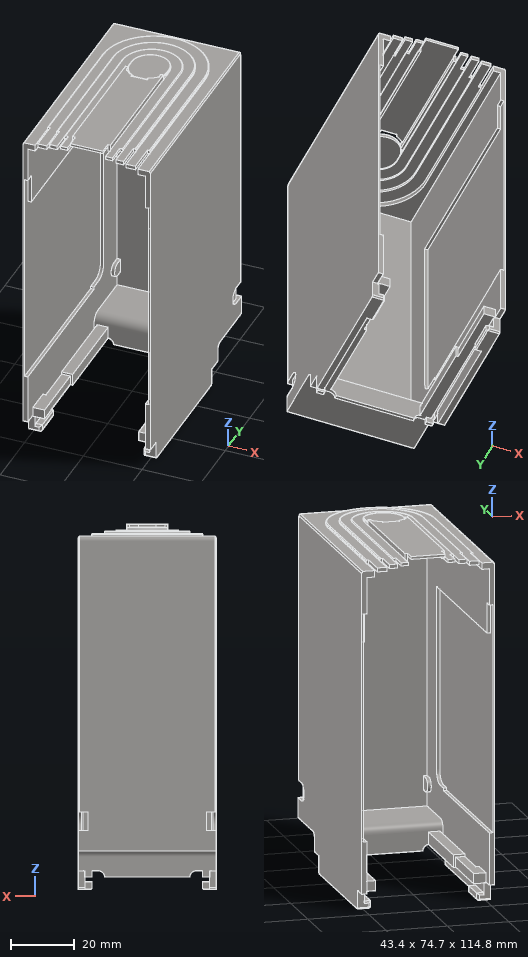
import cadquery as cq
import math

WIDTH = 43.4
DEPTH = 74.7
HEIGHT = 114.8
HALF_WIDTH = WIDTH / 2

SIDE_WALL = 1.7
BACK_WALL = 1.7
ROOF_TOP = 111.1
CEILING = 109.0
INNER_HALF = HALF_WIDTH - SIDE_WALL
SIDE_BEVEL_ACROSS = 0.35
SIDE_BEVEL_DOWN = 0.65
BACK_EDGE_ROUND = 1.6

FRONT_CORNER_Z = 6.1
FOOT_FRONT_Y = 4.6
FOOT_BACK_Y = 50.35
FOOT_CHAMFER = 0.5
CROSS_Z = 5.8
REAR_FLOOR_Z = 12.0

SHEET = 1.2
CROSS_BACK_Y = DEPTH - 19.3
BEND_INNER = 1.8
BEND_OUTER = BEND_INNER + SHEET
TAB_Z = 3.8
TAB_HALF = 13.4
TAB_CORNER_RADIUS = CROSS_Z - TAB_Z
HOOK_OUTER = 19.7
HOOK_INNER = 17.3

TIERS = [
    (17.5, 111.9, 1.3, 0.9, 10.0),
    (13.5, 112.7, 1.3, 0.9, 8.0),
    (10.0, 113.0, 1.0, 1.2, 6.0),
]
FIRST_CENTRE_Y = DEPTH - 19.9
CENTRE_STEP = 0.9
TIER_CHAMFER = 0.3

TONGUE_HALF = 6.45
TONGUE_THICKNESS = 0.9
TONGUE_SLOT_WIDTH = 0.9
TONGUE_SLOT_LENGTH = 4.0
TONGUE_END_RADIUS = 7.1
TONGUE_NOTCH_HALF = 2.7
TONGUE_NOTCH_Y = DEPTH - 31.7
BUTTON_TOP = 113.75
BUTTON_CHAMFER = 0.2
BUTTON_BOTTOM = 112.4
BUTTON_BACK_CENTRE_Y = FIRST_CENTRE_Y - len(TIERS) * CENTRE_STEP
BUTTON_FRONT_CENTRE_Y = BUTTON_BACK_CENTRE_Y - 1.8

SKIN = 0.6
RECESS_TOP = 97.2
RECESS_STEP_Z = 87.4
RECESS_STEP_Y = 2.8
RECESS_BACK_Y = 62.0
RECESS_FRONT_FLOOR = 23.1
RECESS_FLOOR = 23.9
RECESS_LEDGE_Y = 54.0
RECESS_CORNER = 4.0

NOTCH_Z = 21.4
NOTCH_RADIUS = 2.9
NOTCH_CENTRE_Y = DEPTH - 4.3
NOTCH_DEPTH = 1.1
NOTCH_RAMP_DEPTH = 1.5
REAR_CLEARANCE = 3.0
RAMP_FRONT_Y = DEPTH - 1.85
RAMP_BACK_Y = DEPTH - 1.0
BOSS_Z = 20.8
BOSS_RADIUS = 2.3
BOSS_HALF = INNER_HALF - 1.2

SHELF_BOTTOM = 5.8
SHELF_FRONT_Y = 4.1
SHELF_STEP_Y = 25.1
SHELF_REAR_TOP = 9.9
SHELF_REAR_HALF = 15.2
SHELF_FRONT_TOP = 9.1
SHELF_FRONT_HALF = 16.0
SHELF_GROOVE_WIDTH = 1.05
SHELF_GROOVE_FRONT_Y = 12.3

FOOT_THICKNESS = 2.2
LIP_LENGTH = 10.0
LIP_FRONT_TOP = 1.8
LIP_TOP = 2.4
LIP_RAMP_LENGTH = 0.8
LIP_HALF = 17.3
LIP_CORNER_CHAMFER = 0.8
LIP_BOTTOM_CHAMFER = 0.4


def block(x0, x1, y0, y1, z0, z1):
    return cq.Workplane("XY").box(x1 - x0, y1 - y0, z1 - z0, centered=False).translate((x0, y0, z0))


def along_x(outline, x0, x1):
    """Extrude a closed outline drawn in the YZ plane from x0 to x1."""
    return outline.extrude(x1 - x0).translate((x0, 0, 0))


def both_sides(left):
    return left.union(left.mirror("YZ"))


def tunnel(radius, centre_y, z0, z1):
    """Prism with straight sides from the front edge and a half-round back end."""
    outline = (
        cq.Workplane("XY", origin=(0, 0, z0))
        .moveTo(-radius, 0)
        .lineTo(-radius, centre_y)
        .threePointArc((0, centre_y + radius), (radius, centre_y))
        .lineTo(radius, 0)
        .close()
    )
    return outline.extrude(z1 - z0)


def make_upper_body():
    """Upper block with a rounded rear edge and bevelled edges where the sides meet the roof and back."""
    overrun = 2 * SIDE_BEVEL_DOWN
    straight_half = HALF_WIDTH - SIDE_BEVEL_ACROSS
    bevel_angle = math.degrees(math.atan2(SIDE_BEVEL_DOWN, SIDE_BEVEL_ACROSS))
    outline = (
        cq.Workplane("YZ", origin=(straight_half, 0, 0))
        .moveTo(-overrun, NOTCH_Z - overrun)
        .lineTo(DEPTH, NOTCH_Z - overrun)
        .lineTo(DEPTH, ROOF_TOP - BACK_EDGE_ROUND)
        .radiusArc((DEPTH - BACK_EDGE_ROUND, ROOF_TOP), -BACK_EDGE_ROUND)
        .lineTo(-overrun, ROOF_TOP)
        .close()
    )
    right_bevel = outline.extrude(SIDE_BEVEL_ACROSS, taper=bevel_angle)
    middle = block(-straight_half, straight_half, -overrun, DEPTH, NOTCH_Z - overrun, ROOF_TOP)
    middle = middle.edges("|X and >Y and >Z").fillet(BACK_EDGE_ROUND)
    trim = block(-HALF_WIDTH, HALF_WIDTH, 0, DEPTH, NOTCH_Z, ROOF_TOP)
    return middle.union(both_sides(right_bevel)).intersect(trim)


def make_lower_body():
    """Lower block, cut away at the rear and standing on the feet."""
    outline = (
        cq.Workplane("YZ")
        .moveTo(0, NOTCH_Z)
        .lineTo(0, FRONT_CORNER_Z)
        .lineTo(FOOT_FRONT_Y, FRONT_CORNER_Z)
        .lineTo(FOOT_FRONT_Y, FOOT_CHAMFER)
        .lineTo(FOOT_FRONT_Y + FOOT_CHAMFER, 0)
        .lineTo(FOOT_BACK_Y - FOOT_CHAMFER, 0)
        .lineTo(FOOT_BACK_Y, FOOT_CHAMFER)
        .lineTo(FOOT_BACK_Y, CROSS_Z)
        .lineTo(CROSS_BACK_Y, CROSS_Z)
        .lineTo(CROSS_BACK_Y, REAR_FLOOR_Z - BEND_INNER)
        .radiusArc((CROSS_BACK_Y + BEND_INNER, REAR_FLOOR_Z), BEND_INNER)
        .lineTo(DEPTH, REAR_FLOOR_Z)
        .lineTo(DEPTH, NOTCH_Z)
        .close()
    )
    return along_x(outline, -HALF_WIDTH, HALF_WIDTH)


def make_interior():
    """Space inside the walls, stopping at the rear floor and the cross plate."""
    floor_z = REAR_FLOOR_Z + SHEET
    plate_y = CROSS_BACK_Y - SHEET
    outline = (
        cq.Workplane("YZ")
        .moveTo(0, 0)
        .lineTo(0, CEILING)
        .lineTo(DEPTH - BACK_WALL, CEILING)
        .lineTo(DEPTH - BACK_WALL, floor_z)
        .lineTo(plate_y + BEND_OUTER, floor_z)
        .radiusArc((plate_y, floor_z - BEND_OUTER), -BEND_OUTER)
        .lineTo(plate_y, 0)
        .close()
    )
    return along_x(outline, -INNER_HALF, INNER_HALF)


def make_tier(index):
    radius, top, thickness, slot_width, slot_length = TIERS[index]
    bottom = top - thickness
    plate = tunnel(radius, FIRST_CENTRE_Y - index * CENTRE_STEP, bottom, top)
    plate = plate.faces(">Z").edges("not <Y").chamfer(TIER_CHAMFER)
    slot = block(-radius, slot_width - radius, 0, slot_length, bottom, top)
    return plate.cut(both_sides(slot))


def make_tier_opening(index):
    """Opening below a tier, through everything under its plate."""
    radius, top = TIERS[index][:2]
    return tunnel(radius, FIRST_CENTRE_Y - index * CENTRE_STEP, CEILING, top)


def make_button():
    outline = (
        cq.Workplane("XY", origin=(0, 0, BUTTON_BOTTOM))
        .moveTo(-TONGUE_HALF, BUTTON_FRONT_CENTRE_Y)
        .lineTo(-TONGUE_HALF, BUTTON_BACK_CENTRE_Y)
        .threePointArc((0, BUTTON_BACK_CENTRE_Y + TONGUE_HALF), (TONGUE_HALF, BUTTON_BACK_CENTRE_Y))
        .lineTo(TONGUE_HALF, BUTTON_FRONT_CENTRE_Y)
        .threePointArc((0, BUTTON_FRONT_CENTRE_Y - TONGUE_HALF), (-TONGUE_HALF, BUTTON_FRONT_CENTRE_Y))
        .close()
    )
    button = outline.extrude(BUTTON_TOP - BUTTON_BOTTOM)
    return button.edges(">Z").chamfer(BUTTON_CHAMFER)


def make_tongue():
    """Raised tongue standing on two thin ribs, with a hollow end that clears the button."""
    side_y = BUTTON_FRONT_CENTRE_Y - math.sqrt(TONGUE_END_RADIUS**2 - TONGUE_HALF**2)
    bottom = HEIGHT - TONGUE_THICKNESS
    tongue = block(-TONGUE_HALF, TONGUE_HALF, 0, side_y, bottom, HEIGHT)
    clearance = (
        cq.Workplane("XY", origin=(0, BUTTON_FRONT_CENTRE_Y, bottom))
        .circle(TONGUE_END_RADIUS)
        .extrude(TONGUE_THICKNESS)
    )
    notch = block(
        -TONGUE_NOTCH_HALF, TONGUE_NOTCH_HALF, TONGUE_NOTCH_Y, BUTTON_FRONT_CENTRE_Y, bottom, HEIGHT
    )
    rib = block(
        -TONGUE_HALF, TONGUE_SLOT_WIDTH - TONGUE_HALF, TONGUE_SLOT_LENGTH, side_y, BUTTON_BOTTOM, HEIGHT
    )
    slot = block(-TONGUE_HALF, TONGUE_SLOT_WIDTH - TONGUE_HALF, 0, TONGUE_SLOT_LENGTH, bottom, HEIGHT)
    tongue = tongue.cut(clearance).cut(notch)
    return tongue.union(both_sides(rib)).cut(both_sides(slot))


def add_roof(body):
    for index in range(len(TIERS)):
        body = body.cut(make_tier_opening(index)).union(make_tier(index))
    body = body.cut(tunnel(TONGUE_HALF, BUTTON_BACK_CENTRE_Y, CEILING, BUTTON_TOP))
    return body.union(make_button()).union(make_tongue())


def make_wall_recess():
    outline = (
        cq.Workplane("YZ")
        .moveTo(0, RECESS_FRONT_FLOOR)
        .lineTo(0, RECESS_TOP)
        .lineTo(RECESS_STEP_Y, RECESS_TOP)
        .lineTo(RECESS_STEP_Y, RECESS_STEP_Z)
        .lineTo(RECESS_BACK_Y, RECESS_STEP_Z)
        .lineTo(RECESS_BACK_Y, RECESS_FLOOR + RECESS_CORNER)
        .radiusArc((RECESS_BACK_Y - RECESS_CORNER, RECESS_FLOOR), RECESS_CORNER)
        .lineTo(RECESS_LEDGE_Y, RECESS_FLOOR)
        .lineTo(RECESS_LEDGE_Y, RECESS_FRONT_FLOOR)
        .close()
    )
    return both_sides(along_x(outline, SKIN - HALF_WIDTH, -INNER_HALF))


def round_nosed_outline(back_y, centre_z, radius):
    """Outline running forwards from back_y and ending in a half round."""
    return (
        cq.Workplane("YZ")
        .moveTo(back_y, centre_z + radius)
        .lineTo(NOTCH_CENTRE_Y, centre_z + radius)
        .threePointArc((NOTCH_CENTRE_Y - radius, centre_z), (NOTCH_CENTRE_Y, centre_z - radius))
        .lineTo(back_y, centre_z - radius)
        .close()
    )


def make_finger_notch():
    """Round-ended notch whose floor ramps deeper, then breaks through the outside of the back wall."""
    outline = round_nosed_outline(DEPTH, NOTCH_Z, NOTCH_RADIUS)
    shallow = along_x(outline, -HALF_WIDTH, NOTCH_DEPTH - HALF_WIDTH)
    ramp = (
        cq.Workplane("XY", origin=(0, 0, NOTCH_Z - NOTCH_RADIUS))
        .moveTo(-HALF_WIDTH, RAMP_FRONT_Y)
        .lineTo(NOTCH_DEPTH - HALF_WIDTH, RAMP_FRONT_Y)
        .lineTo(NOTCH_RAMP_DEPTH - HALF_WIDTH, RAMP_BACK_Y)
        .lineTo(REAR_CLEARANCE - HALF_WIDTH, RAMP_BACK_Y)
        .lineTo(REAR_CLEARANCE - HALF_WIDTH, DEPTH)
        .lineTo(-HALF_WIDTH, DEPTH)
        .close()
        .extrude(2 * NOTCH_RADIUS)
    )
    return both_sides(shallow.union(ramp))


def make_notch_boss():
    outline = round_nosed_outline(DEPTH - BACK_WALL, BOSS_Z, BOSS_RADIUS)
    return both_sides(along_x(outline, -INNER_HALF, -BOSS_HALF))


def make_shelf():
    plate_y = CROSS_BACK_Y - SHEET
    front = block(-INNER_HALF, -SHELF_FRONT_HALF, SHELF_FRONT_Y, SHELF_STEP_Y, SHELF_BOTTOM, SHELF_FRONT_TOP)
    rear = block(-INNER_HALF, -SHELF_REAR_HALF, SHELF_STEP_Y, plate_y, SHELF_BOTTOM, SHELF_REAR_TOP)
    groove = block(
        -INNER_HALF,
        SHELF_GROOVE_WIDTH - INNER_HALF,
        SHELF_GROOVE_FRONT_Y,
        plate_y,
        SHELF_BOTTOM,
        SHELF_REAR_TOP,
    )
    return both_sides(front.union(rear).cut(groove))


def make_foot():
    """Thickened foot of the side wall, with a short inward lip at its front end."""
    inner = FOOT_THICKNESS - HALF_WIDTH
    pad = block(-INNER_HALF, inner, FOOT_FRONT_Y, FOOT_BACK_Y, 0, SHELF_BOTTOM)
    lip_back_y = FOOT_FRONT_Y + LIP_LENGTH
    lip_outline = (
        cq.Workplane("YZ")
        .moveTo(FOOT_FRONT_Y, 0)
        .lineTo(FOOT_FRONT_Y, LIP_FRONT_TOP)
        .lineTo(FOOT_FRONT_Y + LIP_RAMP_LENGTH, LIP_TOP)
        .lineTo(lip_back_y, LIP_TOP)
        .lineTo(lip_back_y, 0)
        .close()
    )
    lip = along_x(lip_outline, -INNER_HALF, -LIP_HALF)
    lip = lip.edges("|Z and >X and <Y").chamfer(LIP_CORNER_CHAMFER)
    lip = lip.edges("|Y and >X and <Z").chamfer(LIP_BOTTOM_CHAMFER)
    return both_sides(pad.union(lip).intersect(make_lower_body()))


def make_cross_plate_edge():
    """Lower edge of the cross plate: a central tab with hollow corners and two outer hooks."""
    plate_y = CROSS_BACK_Y - SHEET
    corner_half = TAB_HALF + TAB_CORNER_RADIUS
    tab = (
        cq.Workplane("XZ", origin=(0, plate_y, 0))
        .moveTo(-corner_half, CROSS_Z)
        .radiusArc((-TAB_HALF, TAB_Z), TAB_CORNER_RADIUS)
        .lineTo(TAB_HALF, TAB_Z)
        .radiusArc((corner_half, CROSS_Z), TAB_CORNER_RADIUS)
        .close()
        .extrude(-SHEET)
    )
    hook = block(-HOOK_OUTER, -HOOK_INNER, plate_y, CROSS_BACK_Y, TAB_Z, CROSS_Z)
    return tab.union(both_sides(hook))


body = make_upper_body().union(make_lower_body()).cut(make_interior())
body = add_roof(body)
body = body.cut(make_wall_recess())
body = body.cut(make_finger_notch()).union(make_notch_boss())
body = body.union(make_shelf()).union(make_foot()).union(make_cross_plate_edge())
result = body